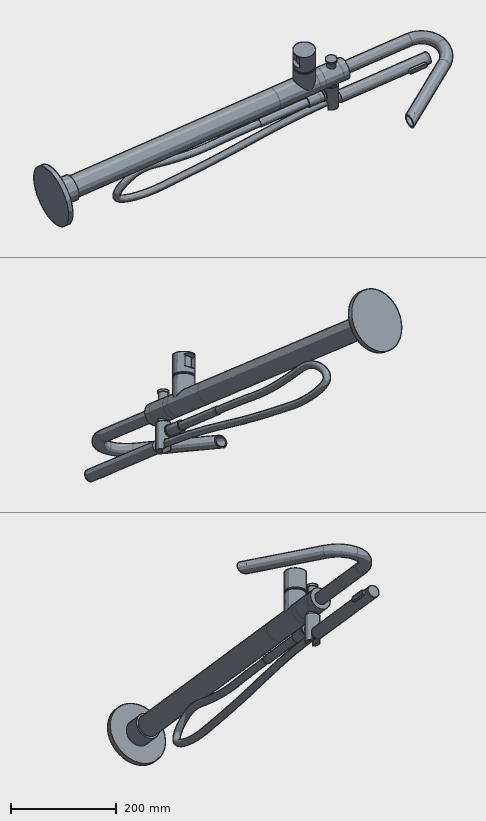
import cadquery as cq
import math


overall_width = 266.38
base_diameter = 124.0
base_thickness = 10.0
collar_diameter = 52.0
collar_top = 46.0
column_diameter = 44.0
tube_top = 500.0
valve_top = 590.0
spacer_top = 603.0
diverter_top = 642.5
column_top = 656.0

spout_diameter = 25.0
spout_bore = 20.0
spout_bore_depth = 14.0
overall_height = 858.7
first_bend_radius = 45.0
second_bend_radius = 58.0
second_bend_angle = 55.0
spout_reach = overall_width - base_diameter / 2

handle_height = 567.0
handle_diameter = 43.0
branch_top = 50.0
handle_gap = 3.0
handle_neck_diameter = 40.0
handle_top = 94.25
grip_width = 24.0
grip_depth = 7.0
grip_bottom = 63.0
grip_top = 92.0
grip_slope = 4.0

diverter_height = 627.5
knob_stem_diameter = 18.0
knob_head_diameter = 22.0
knob_head_bottom = 35.0
knob_top = 39.5

holder_neck_diameter = 22.0
holder_diameter = 28.5
holder_top = -25.5
holder_bottom = -82.0
holder_slot_width = 16.0
outlet_diameter = 14.0

shower_axis_z = -68.7
shower_diameter = 24.5
shower_tip = 844.0
shower_cap_length = 4.0
shower_shoulder = 644.0
shower_cone_length = 10.0
shower_neck_diameter = 14.0
hose_joint = 619.5
spray_length = 40.0
spray_width = 10.0
spray_reach = 16.5
spray_end = 833.0

outlet_axis_z = -46.4
hose_diameter = 14.2
ring_diameter = 24.0
ring_top = 610.0
nut_diameter = 22.0
nut_groove = 598.4
nut_top = 606.5
nut_bottom = 573.0
sleeve_diameter = 16.5
sleeve_bottom = 466.0
hose_waypoints = [
    (380.0, -47.5),
    (340.0, -48.5),
    (240.0, -36.0),
    (190.0, -34.5),
    (147.0, -76.0),
    (190.0, -96.5),
    (265.0, -99.0),
    (370.0, -90.8),
]


def rod_y(diameter, start, end, z=0.0):
    """Round bar along Y between two heights, at a given Z."""
    return (
        cq.Workplane("XZ", origin=(0, start, z))
        .circle(diameter / 2)
        .extrude(start - end)
    )


def rod_z(diameter, y, start, end):
    """Round bar along Z between two levels, at a given Y."""
    return (
        cq.Workplane("XY", origin=(0, y, start))
        .circle(diameter / 2)
        .extrude(end - start)
    )


def cone_y(start_diameter, end_diameter, start, end, z):
    """Cone along Y that changes diameter between two heights."""
    return (
        cq.Workplane("XY", origin=(0, 0, z))
        .moveTo(0, start)
        .lineTo(start_diameter / 2, start)
        .lineTo(end_diameter / 2, end)
        .lineTo(0, end)
        .close()
        .revolve(360, (0, 0, 0), (0, 1, 0))
    )


def make_spout():
    """Bent tube with a level-cut tip and a short bore that ends on a level face."""
    turn = math.radians(second_bend_angle)
    apex_y = overall_height - spout_diameter / 2
    bend_y = apex_y - first_bend_radius
    second_centre_y = apex_y - second_bend_radius

    def first_bend_point(angle):
        x = first_bend_radius * (1 - math.cos(angle))
        y = bend_y + first_bend_radius * math.sin(angle)
        return (x, y)

    def second_bend_point(angle):
        x = first_bend_radius + second_bend_radius * math.sin(angle)
        y = second_centre_y + second_bend_radius * math.cos(angle)
        return (x, y)

    run_x, run_y = second_bend_point(turn)
    tip_x = spout_reach - spout_diameter / 2 / math.sin(turn)
    tip_y = run_y - (tip_x - run_x) * math.tan(turn)

    overrun = spout_diameter
    path_end = (tip_x + overrun * math.cos(turn), tip_y - overrun * math.sin(turn))

    path = (
        cq.Workplane("XY")
        .moveTo(0, column_top)
        .lineTo(0, bend_y)
        .threePointArc(first_bend_point(math.pi / 4), (first_bend_radius, apex_y))
        .threePointArc(second_bend_point(turn / 2), (run_x, run_y))
        .lineTo(*path_end)
    )
    tube = (
        cq.Workplane("XZ", origin=(0, column_top, 0))
        .circle(spout_diameter / 2)
        .sweep(path)
    )

    trim = cq.Workplane("XY").box(
        2 * spout_diameter,
        2 * overrun,
        2 * spout_diameter,
    )
    trim = trim.translate((tip_x, tip_y - overrun, 0))

    run_direction = cq.Vector(math.cos(turn), -math.sin(turn), 0)
    bore_plane = cq.Plane(origin=(run_x, run_y, 0), xDir=(0, 0, 1), normal=run_direction)
    bore_length = math.dist((run_x, run_y), path_end)
    bore = cq.Workplane(bore_plane).circle(spout_bore / 2).extrude(bore_length)
    bore_zone = cq.Workplane("XY").box(
        4 * spout_diameter,
        2 * spout_bore_depth,
        2 * spout_diameter,
    )
    bore_zone = bore_zone.translate((tip_x, tip_y, 0))

    return tube.cut(trim).cut(bore.intersect(bore_zone))


def make_column():
    """Base, column rings and handle branch in one solid with the spout and holder."""
    column = rod_y(base_diameter, 0, base_thickness)
    column = column.union(rod_y(collar_diameter, base_thickness, collar_top))

    ring_heights = [collar_top, tube_top, valve_top, spacer_top, diverter_top, column_top]
    for lower, upper in zip(ring_heights, ring_heights[1:]):
        column = column.union(rod_y(column_diameter, lower, upper), clean=False)

    branch = rod_z(handle_diameter, handle_height, 0, branch_top)
    for member in [branch, make_spout(), make_holder()]:
        column = column.union(member, clean=False)
    return column


def make_holder():
    """Hand shower holder: neck, slotted cylinder and hose outlet."""
    neck = rod_z(holder_neck_diameter, diverter_height, holder_top, 0)
    holder = rod_z(holder_diameter, diverter_height, holder_bottom, holder_top)
    slot = rod_y(
        holder_slot_width,
        diverter_height - holder_diameter,
        diverter_height + holder_diameter,
        shower_axis_z,
    )
    slot_mouth = cq.Workplane("XY").box(
        holder_slot_width,
        2 * holder_diameter,
        shower_axis_z - holder_bottom,
        centered=(True, True, False),
    )
    slot_mouth = slot_mouth.translate((0, diverter_height, holder_bottom))
    outlet = rod_y(outlet_diameter, ring_top, diverter_height, outlet_axis_z)
    return holder.cut(slot).cut(slot_mouth).cut(shower_cone()).union(neck).union(outlet)


def make_handle():
    """Round handle on a narrower neck, with a round-floored grip on its -Y side."""
    neck = rod_z(handle_neck_diameter, handle_height, branch_top, branch_top + handle_gap)
    knob = rod_z(handle_diameter, handle_height, branch_top + handle_gap, handle_top)
    face_y = handle_height - handle_diameter / 2
    grip = (
        cq.Workplane("YZ", origin=(-grip_width / 2, 0, 0))
        .moveTo(face_y, grip_bottom)
        .lineTo(face_y + grip_depth, grip_bottom + grip_slope)
        .lineTo(handle_height, grip_bottom + grip_slope)
        .lineTo(handle_height, grip_top - grip_slope)
        .lineTo(face_y + grip_depth, grip_top - grip_slope)
        .lineTo(face_y, grip_top)
        .close()
        .extrude(grip_width)
    )
    core_diameter = handle_diameter - 2 * grip_depth
    core = rod_z(core_diameter, handle_height, branch_top, handle_top)
    return knob.cut(grip).union(core).union(neck)


def make_diverter_knob():
    """Small pull knob seated on the round side of the column."""
    stem = rod_z(knob_stem_diameter, diverter_height, 0, knob_head_bottom)
    head = rod_z(knob_head_diameter, diverter_height, knob_head_bottom, knob_top)
    seat = rod_y(column_diameter, valve_top, column_top)
    return stem.union(head).cut(seat)


def shower_cone():
    """Tapered end of the hand shower, which also shapes its seat in the holder."""
    return cone_y(
        shower_diameter,
        shower_neck_diameter,
        shower_shoulder,
        shower_shoulder - shower_cone_length,
        shower_axis_z,
    )


def make_hand_shower():
    """Hand shower with end cap, side spray pad and a neck inside the holder."""
    cap_start = shower_tip - shower_cap_length
    neck = rod_y(shower_neck_diameter, hose_joint, shower_shoulder, shower_axis_z)
    grip = rod_y(shower_diameter, shower_shoulder, cap_start, shower_axis_z)
    cap = rod_y(shower_diameter, cap_start, shower_tip, shower_axis_z)
    spray_pad = (
        cq.Workplane("YZ", origin=(0, spray_end - spray_length / 2, shower_axis_z))
        .slot2D(spray_length, spray_width)
        .extrude(spray_reach)
    )
    shower = grip.union(spray_pad).union(shower_cone()).union(neck)
    return shower.union(cap, clean=False)


def make_hose():
    """Hose with its nut at the outlet, looping down and back to the hand shower."""
    hose_start = (sleeve_bottom, outlet_axis_z)
    hose_end = (hose_joint, shower_axis_z)
    path = cq.Workplane("YZ").spline(
        [hose_start, *hose_waypoints, hose_end],
        tangents=[(-1, 0), (1, 0)],
    )
    tube = (
        cq.Workplane("XZ", origin=(0, sleeve_bottom, outlet_axis_z))
        .circle(hose_diameter / 2)
        .sweep(path)
    )
    ring = rod_y(ring_diameter, nut_top, ring_top, outlet_axis_z)
    nut_collar = rod_y(nut_diameter, nut_groove, nut_top, outlet_axis_z)
    nut = rod_y(nut_diameter, nut_bottom, nut_groove, outlet_axis_z)
    sleeve = rod_y(sleeve_diameter, sleeve_bottom, nut_bottom, outlet_axis_z)
    return ring.union(nut_collar).union(nut, clean=False).union(sleeve, clean=False).union(tube, clean=False)


column = make_column()
handle = make_handle()
diverter_knob = make_diverter_knob()
hand_shower = make_hand_shower()
hose = make_hose()

result = cq.Compound.makeCompound(
    [
        column.val(),
        handle.val(),
        diverter_knob.val(),
        hand_shower.val(),
        hose.val(),
    ]
)